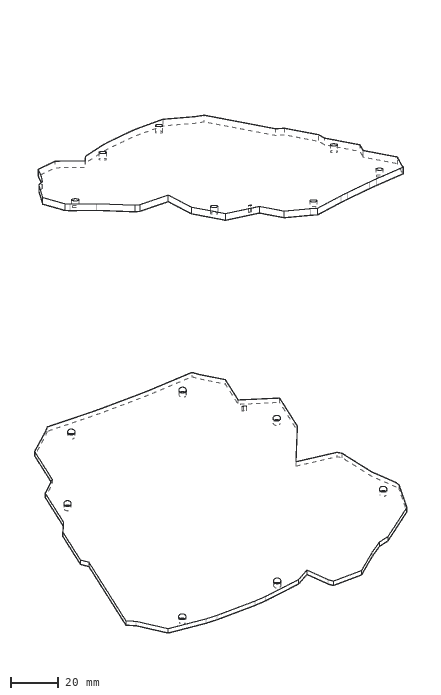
import cadquery as cq

width = 129.39
depth = 139.57
thickness = 3.0

screw_hole_diameter = 3.1

back_edge_y = 136.9
back_step_y = 130.9
front_step_y = 40.9
foot_y = 24.65
corner_x = 119.6
corner_bend_x = 127.2
corner_bend_half = 36.2

left_bow_x = 4.75
left_bow_center_y = 91.9
right_bow_x = 128.4
right_bow_center_y = 86.0
bow_middle_half = 8.9
bow_inner_half = 14.0
left_bow_outer_half = 30.8
right_bow_outer_half = 34.15
left_inner_setback = 0.3
left_outer_setback = 2.5
right_inner_setback = 0.1
right_outer_setback = width - right_bow_x

left_hole_x = 10.6
right_hole_x = 122.4
screw_holes = [
    (left_hole_x, 114.4),
    (left_hole_x, 69.6),
    (right_hole_x, 112.2),
    (right_hole_x, 59.7),
    (87.8, 130.9),
    (91.0, 30.6),
    (36.2, 7.15),
]

slit_corners = [(103.2, 41.1), (103.2, 40.3), (102.7, 39.2)]


def bowed_edge(middle_x, center_y, facets):
    """Points of a side edge from back to front; facets are (X offset, half length), outermost first."""
    back_half = [(middle_x + offset, center_y + half) for offset, half in facets]
    front_half = [(middle_x + offset, center_y - half) for offset, half in reversed(facets)]
    return back_half + front_half


def outline_points():
    """Corners of the plate, counter-clockwise from the back end of the left edge."""
    left_edge = bowed_edge(
        left_bow_x,
        left_bow_center_y,
        [
            (left_outer_setback, left_bow_outer_half),
            (left_inner_setback, bow_inner_half),
            (0, bow_middle_half),
        ],
    )
    thumb_lobe = [
        (10.4, 55.7),
        (1.7, 49.9),
        (0, 48.3),
        (0, 35.0),
        (7.1, 26.5),
        (10.7, 21.4),
        (11.9, 16.7),
        (22.75, 2.5),
        (35.5, 0),
        (37.5, 0.9),
        (46.8, 7.3),
        (61.6, 14.2),
        (63.0, 15.9),
        (65.95, 33.8),
    ]
    right_foot = [
        (83.3, foot_y),
        (100.45, foot_y),
        (107.2, front_step_y),
        (corner_x, front_step_y),
        (corner_bend_x, right_bow_center_y - corner_bend_half),
    ]
    right_edge = bowed_edge(
        right_bow_x,
        right_bow_center_y,
        [
            (right_outer_setback, right_bow_outer_half),
            (right_inner_setback, bow_inner_half),
            (0, bow_middle_half),
        ],
    )
    right_edge.reverse()
    back_edge = [
        (corner_bend_x, right_bow_center_y + corner_bend_half),
        (corner_x, back_step_y),
        (102.5, back_step_y),
        (97.0, back_edge_y),
        (79.4, back_edge_y),
        (74.6, depth),
        (57.5, depth),
        (54.8, back_edge_y),
        (19.0, back_edge_y),
        (16.8, 133.1),
    ]
    return left_edge + thumb_lobe + right_foot + right_edge + back_edge


def plate():
    return cq.Workplane("XY").polyline(outline_points()).close().extrude(thickness)


def screw_hole_cutters():
    return cq.Workplane("XY").pushPoints(screw_holes).circle(screw_hole_diameter / 2).extrude(thickness)


def slit_cutter():
    return cq.Workplane("XY").polyline(slit_corners).close().extrude(thickness)


result = plate().cut(screw_hole_cutters()).cut(slit_cutter())